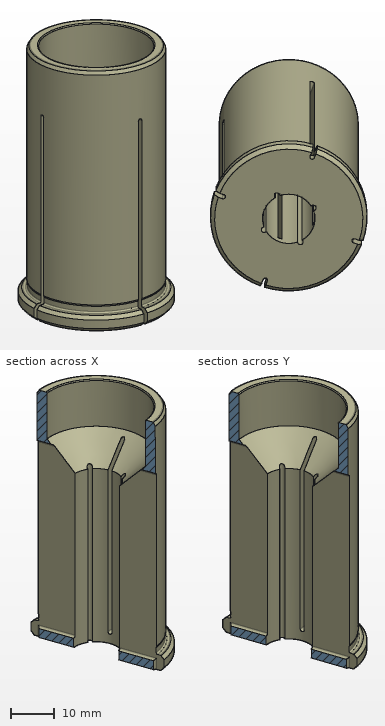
import cadquery as cq
import math

HEIGHT = 64.0
BODY_RADIUS = 16.0

RIM_CHAMFER_HEIGHT = 0.9
RIM_BREAK_HEIGHT = 0.05
RIM_CORNER_RADIUS = 15.5
RIM_FACE_RADIUS = 15.2

FLANGE_RADIUS = 18.0
FLANGE_HEIGHT = 4.0
FLANGE_LOWER_CHAMFER = 0.95
FLANGE_UPPER_CHAMFER = 0.8
FLANGE_BREAK_HEIGHT = 0.05
FLANGE_BREAK_WIDTH = 0.25

RELIEF_DEPTH = 0.1
RELIEF_TOP = 6.0
RELIEF_TAPER = 0.4
RELIEF_FILLET = 0.4

BORE_RADIUS = 26.5 / 2
BORE_CHAMFER = 0.25
CONE_TOP = 52.0
CONE_SLOPE_ANGLE = 45.0
HOLE_RADIUS = 6.0

NOTCH_RADIUS = 0.65
NOTCH_CENTRE_RADIUS = 6.3

SLOT_COUNT = 4
SLOT_WIDTH = 1.0
SLOT_BOTTOM = 2.4
SLOT_TOP = 50.75
GROOVE_CENTRE_RADIUS = 16.0


def outer_body():
    """Flanged sleeve, revolved as a solid around Z."""
    relief_radius = BODY_RADIUS - RELIEF_DEPTH
    base_radius = FLANGE_RADIUS - FLANGE_LOWER_CHAMFER
    flange_corner_radius = FLANGE_RADIUS - FLANGE_UPPER_CHAMFER
    flange_corner_height = FLANGE_HEIGHT - FLANGE_BREAK_HEIGHT
    profile = (
        cq.Workplane("XZ")
        .moveTo(0, 0)
        .lineTo(base_radius, 0)
        .lineTo(FLANGE_RADIUS, FLANGE_LOWER_CHAMFER)
        .lineTo(FLANGE_RADIUS, flange_corner_height - FLANGE_UPPER_CHAMFER)
        .lineTo(flange_corner_radius, flange_corner_height)
        .lineTo(flange_corner_radius - FLANGE_BREAK_WIDTH, FLANGE_HEIGHT)
        .lineTo(relief_radius + RELIEF_FILLET, FLANGE_HEIGHT)
        .tangentArcPoint((-RELIEF_FILLET, RELIEF_FILLET))
        .lineTo(relief_radius, RELIEF_TOP - RELIEF_TAPER)
        .lineTo(BODY_RADIUS, RELIEF_TOP)
        .lineTo(BODY_RADIUS, HEIGHT - RIM_CHAMFER_HEIGHT)
        .lineTo(RIM_CORNER_RADIUS, HEIGHT - RIM_BREAK_HEIGHT)
        .lineTo(RIM_FACE_RADIUS, HEIGHT)
        .lineTo(0, HEIGHT)
        .close()
    )
    return profile.revolve(360, (0, 0), (0, 1))


def bore():
    """Chamfered bore, conical floor and through hole as one revolved cutter."""
    cone_run = BORE_RADIUS - HOLE_RADIUS
    cone_bottom = CONE_TOP - cone_run * math.tan(math.radians(CONE_SLOPE_ANGLE))
    profile = (
        cq.Workplane("XZ")
        .moveTo(0, 0)
        .lineTo(HOLE_RADIUS, 0)
        .lineTo(HOLE_RADIUS, cone_bottom)
        .lineTo(BORE_RADIUS, CONE_TOP)
        .lineTo(BORE_RADIUS, HEIGHT - BORE_CHAMFER)
        .lineTo(BORE_RADIUS + BORE_CHAMFER, HEIGHT)
        .lineTo(0, HEIGHT)
        .close()
    )
    return profile.revolve(360, (0, 0), (0, 1))


def diagonal_notches():
    """Round notches running the full length of the through hole."""
    return (
        cq.Workplane("XY")
        .polarArray(NOTCH_CENTRE_RADIUS, 180 / SLOT_COUNT, 360, SLOT_COUNT)
        .circle(NOTCH_RADIUS)
        .extrude(CONE_TOP)
    )


def wall_slot(angle):
    """Round-ended upright slot cut from the axis out through the wall."""
    slot_length = SLOT_TOP - SLOT_BOTTOM
    return (
        cq.Workplane("YZ")
        .center(0, (SLOT_TOP + SLOT_BOTTOM) / 2)
        .slot2D(slot_length, SLOT_WIDTH, 90)
        .extrude(FLANGE_RADIUS)
        .rotate((0, 0, 0), (0, 0, 1), angle)
    )


def flange_groove(angle):
    """Upright groove with a rounded floor, over the full flange height."""
    round_floor = (
        cq.Workplane("XY")
        .center(GROOVE_CENTRE_RADIUS, 0)
        .circle(SLOT_WIDTH / 2)
        .extrude(FLANGE_HEIGHT)
    )
    open_side = (
        cq.Workplane("XY")
        .moveTo(GROOVE_CENTRE_RADIUS, -SLOT_WIDTH / 2)
        .lineTo(FLANGE_RADIUS, -SLOT_WIDTH / 2)
        .lineTo(FLANGE_RADIUS, SLOT_WIDTH / 2)
        .lineTo(GROOVE_CENTRE_RADIUS, SLOT_WIDTH / 2)
        .close()
        .extrude(FLANGE_HEIGHT)
    )
    return round_floor.union(open_side).rotate((0, 0, 0), (0, 0, 1), angle)


result = outer_body().cut(bore()).cut(diagonal_notches())
for index in range(SLOT_COUNT):
    slot_angle = index * 360 / SLOT_COUNT
    result = result.cut(wall_slot(slot_angle)).cut(flange_groove(slot_angle))